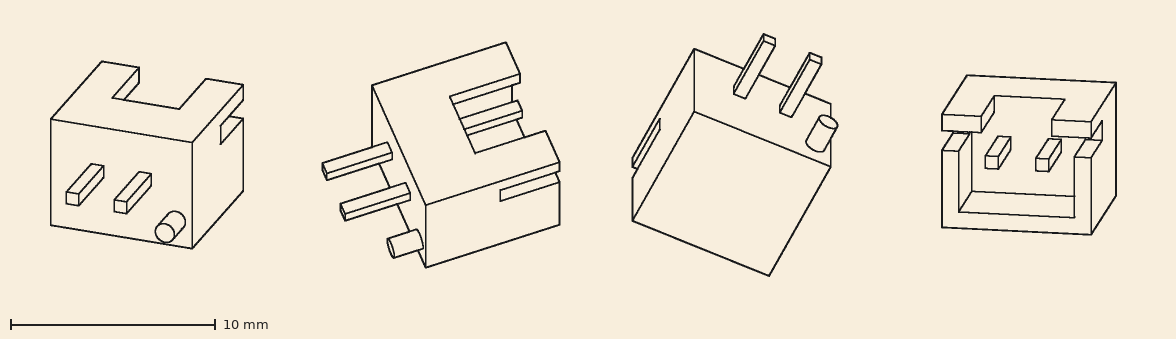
import cadquery as cq


body_width = 7.4
body_depth = 7.0
body_height = 5.75
wall = 0.83

notch_width = 3.5
notch_depth = 3.68
cavity_depth = notch_depth
side_slot_depth = 3.1
side_slot_height = 1.0

pin_count = 2
pin_pitch = 2.5
pin_size = 0.64
pin_height = 3.375
pin_tail = 3.4
pin_tip_recess = 0.2

peg_diameter = 1.0
peg_length = 1.5
peg_x = 2.85
peg_height = 1.375

ceiling_z = body_height - wall


def block(width, y_start, y_end, z_start, z_end):
    """Box centred on X = 0 that spans the given Y and Z ranges."""
    return cq.Workplane("XY").box(
        width, y_end - y_start, z_end - z_start, centered=(True, False, False)
    ).translate((0, y_start, z_start))


def make_housing():
    """Open-fronted shell with a top notch and a slot through both side walls."""
    housing = block(body_width, 0, body_depth, 0, body_height)
    cavity = block(
        body_width - 2 * wall, body_depth - cavity_depth, body_depth, wall, ceiling_z
    )
    notch = block(
        notch_width, body_depth - notch_depth, body_depth, ceiling_z, body_height
    )
    side_slots = block(
        body_width, body_depth - side_slot_depth, body_depth,
        ceiling_z - side_slot_height, ceiling_z,
    )
    return housing.cut(cavity).cut(notch).cut(side_slots)


def make_pin(x):
    """Square pin running from its tail tip to just inside the mating face."""
    pin = block(
        pin_size, -pin_tail, body_depth - pin_tip_recess,
        pin_height - pin_size / 2, pin_height + pin_size / 2,
    )
    return pin.translate((x, 0, 0))


def make_peg():
    """Round locating peg standing on the mounting face."""
    return (
        cq.Workplane("XZ")
        .center(peg_x, peg_height)
        .circle(peg_diameter / 2)
        .extrude(peg_length)
    )


result = make_housing().union(make_peg())
for index in range(pin_count):
    pin_x = (index - (pin_count - 1) / 2) * pin_pitch
    result = result.union(make_pin(pin_x))